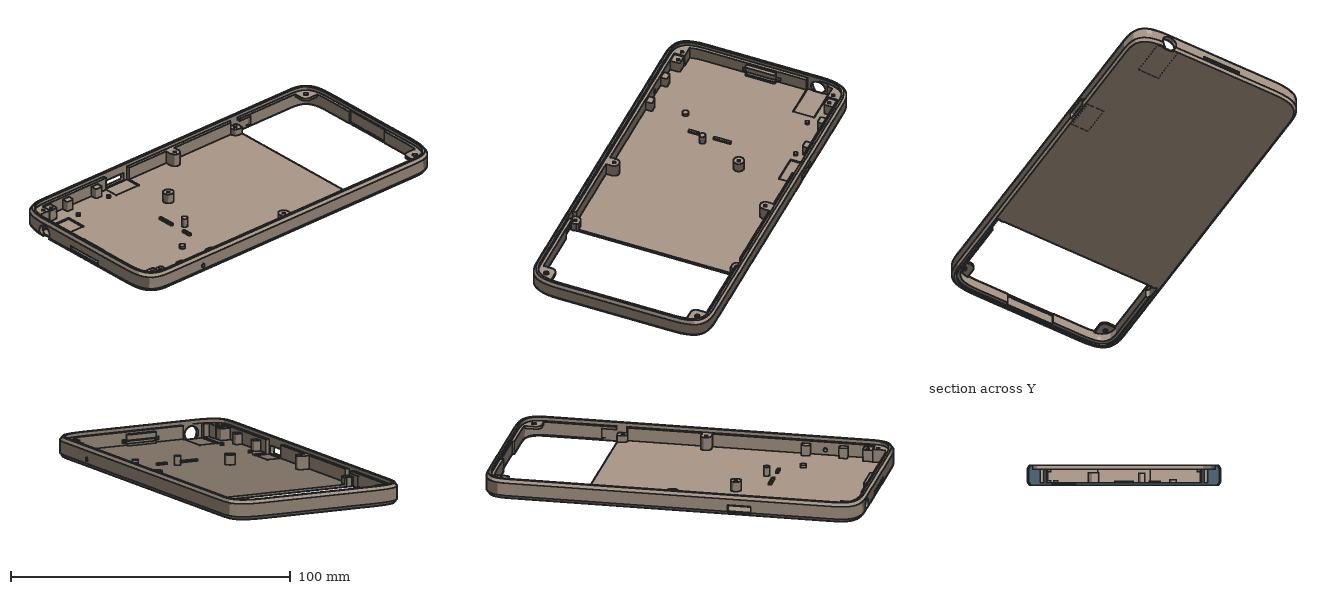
import cadquery as cq

WIDTH = 69.0
LENGTH = 138.0
HEIGHT = 7.2
CORNER_X = 12.4
CORNER_Y = 10.0
CORNER_TENSION = 0.75

BEVEL_INSET = 0.8
BEVEL_HEIGHT = 1.2
RIM_INSET = 1.7
LEDGE_INSET = 2.9
LEDGE_Z = 5.8
THIN_LEDGE_Z = 4.8
FLOOR_Z = 1.0
POCKET_Z = 0.4
CUT_MARGIN = 1.4

RIM_X = WIDTH / 2 - RIM_INSET
RIM_Y = LENGTH / 2 - RIM_INSET
LEDGE_X = WIDTH / 2 - LEDGE_INSET
LEDGE_Y = LENGTH / 2 - LEDGE_INSET

WINDOW_Y = 32.8
TOP_RELIEF_X = 9.4
TOP_RELIEF_Y = 66.9

SCREW_X = 29.3
SCREW_RADIUS = 0.5
PAD_X = 26.2
PAD_Y = 60.0
PAD_CORNER = 2.1
PAD_HOLE_Y = 63.0
PAD_HOLE_RADIUS = 0.8
END_BOSS_X = 31.3
END_BOSS_Y = 31.2
END_BOSS_RADIUS = 2.0
END_BOSS_Z = 3.5
END_NOTCH_Y = 33.5
SIDE_BOSS_Y = 0.3
SIDE_BOSS_RADIUS = 2.0
FOOT_X = 27.6
FOOT_Y = -60.9
FOOT_SCREW_Y = -62.5
STEP_BLOCK_X = 27.9
STEP_BLOCK_Y = -57.1
STEP_BLOCK_Z = 5.2
STEP_SCREW_Y = -58.8
SMALL_CORNER = 0.5

TAB_X = 29.1
TAB_LENGTH = 3.0
TAB_CENTRES_Y = (-35.9, -49.7)
TAB_Z = 4.8
BUMP_HALF_WIDTH = 5.8
BUMP_Y = -64.6
BUMP_Z = 5.0

UNDERCUT_Y = 38.8
UNDERCUT_CORNER = 1.0

FLOOR_PINS = (
    (6.3, -26.6, 1.1, 3.3),
    (17.5, -37.7, 1.1, 1.0),
    (-26.9, -33.4, 0.7, 0.7),
    (-24.4, -50.1, 0.7, 0.7),
)
POST_X = -10.9
POST_Y = -19.0
POST_RADIUS = 2.0
POST_HEIGHT = 3.6
BAR_Y = -29.8
BAR_WIDTH = 1.0
BAR_HEIGHT = 0.5
BAR_SPANS_X = ((-3.3, 3.3), (9.1, 13.0))

JACK_X = -21.4
JACK_Z = 2.3
JACK_RADIUS = 2.8
JACK_POCKET_WIDTH = 8.1
JACK_POCKET_Y = -53.8
USB_HALF_WIDTH = 7.3
USB_Z = (1.8, 2.9)
SIDE_HOLE_Y = -42.8
SIDE_HOLE_Z = 2.8
SIDE_HOLE_RADIUS = 0.7
SWITCH_Y = (-29.4, -20.8)
SWITCH_Z = (0.8, 3.7)
SWITCH_POCKET_X = -26.2
SWITCH_POCKET_Y = (-30.4, -19.3)


def outline(inset, z):
    """Closed wire of the frame outline, moved inwards, on a plane at height z."""
    x, y = WIDTH / 2 - inset, LENGTH / 2 - inset
    xs, ys = WIDTH / 2 - CORNER_X, LENGTH / 2 - CORNER_Y
    xc = xs + CORNER_TENSION * (x - xs)
    yc = ys + CORNER_TENSION * (y - ys)
    return (
        cq.Workplane("XY", origin=(0, 0, z))
        .moveTo(-xs, -y)
        .lineTo(xs, -y)
        .bezier([(xs, -y), (xc, -y), (x, -yc), (x, -ys)])
        .lineTo(x, ys)
        .bezier([(x, ys), (x, yc), (xc, y), (xs, y)])
        .lineTo(-xs, y)
        .bezier([(-xs, y), (-xc, y), (-x, yc), (-x, ys)])
        .lineTo(-x, -ys)
        .bezier([(-x, -ys), (-x, -yc), (-xc, -y), (-xs, -y)])
        .close()
        .wire()
    )


def prism(inset, z0, z1):
    return outline(inset, z0).extrude(z1 - z0)


def bevel(inset_low, z_low, inset_high, z_high):
    low, high = (outline(i, z).val() for i, z in ((inset_low, z_low), (inset_high, z_high)))
    return cq.Workplane(cq.Solid.makeLoft([low, high], True))


def block(x0, x1, y0, y1, z0, z1):
    return cq.Workplane("XY").box(x1 - x0, y1 - y0, z1 - z0, centered=False).translate((x0, y0, z0))


def cylinder(x, y, radius, z0, z1):
    return cq.Workplane("XY", origin=(x, y, z0)).circle(radius).extrude(z1 - z0)


def both_sides(shape):
    return shape.union(shape.mirror("YZ"))


frame = prism(0, BEVEL_HEIGHT, HEIGHT - BEVEL_HEIGHT)
frame = frame.union(bevel(BEVEL_INSET, 0, 0, BEVEL_HEIGHT))
frame = frame.union(bevel(0, HEIGHT - BEVEL_HEIGHT, BEVEL_INSET, HEIGHT))
frame = frame.cut(prism(RIM_INSET, LEDGE_Z, HEIGHT + CUT_MARGIN))

frame = frame.cut(prism(LEDGE_INSET, FLOOR_Z, HEIGHT))
beyond_floor = block(-WIDTH, WIDTH, WINDOW_Y, LENGTH, -CUT_MARGIN, HEIGHT)
window = prism(LEDGE_INSET, -CUT_MARGIN, HEIGHT)
underside_step = prism(RIM_INSET, -CUT_MARGIN, FLOOR_Z)
frame = frame.cut(window.union(underside_step).intersect(beyond_floor))
top_relief = block(
    -TOP_RELIEF_X, TOP_RELIEF_X, LEDGE_Y - CUT_MARGIN, TOP_RELIEF_Y, -CUT_MARGIN, LEDGE_Z
)
frame = frame.cut(top_relief)

inside = prism(RIM_INSET, 0, LEDGE_Z)

pad = block(-WIDTH / 2, -PAD_X, PAD_Y, LENGTH / 2, THIN_LEDGE_Z, LEDGE_Z)
pad = pad.edges("|Z and >X and <Y").fillet(PAD_CORNER)
frame = frame.union(both_sides(pad).intersect(inside))
frame = frame.cut(both_sides(cylinder(SCREW_X, PAD_HOLE_Y, PAD_HOLE_RADIUS, 0, HEIGHT)))


def end_boss(z0, z1):
    wide = block(-RIM_X, END_BOSS_RADIUS - END_BOSS_X, END_BOSS_Y, WINDOW_Y, z0, z1)
    round_end = cylinder(-END_BOSS_X, END_BOSS_Y, END_BOSS_RADIUS, z0, z1)
    trimmed = round_end.intersect(block(-RIM_X, 0, 0, LENGTH, z0, z1))
    return both_sides(wide.union(trimmed))


frame = frame.cut(end_boss(FLOOR_Z, LEDGE_Z))
frame = frame.cut(both_sides(block(-RIM_X, 0, WINDOW_Y, END_NOTCH_Y, -CUT_MARGIN, LEDGE_Z)))

undercut = block(-RIM_X, 0, WINDOW_Y, UNDERCUT_Y, -CUT_MARGIN, THIN_LEDGE_Z)
frame = frame.cut(both_sides(undercut.edges("|Z and <X and >Y").fillet(UNDERCUT_CORNER)))
frame = frame.union(end_boss(0, END_BOSS_Z))
frame = frame.cut(both_sides(cylinder(END_BOSS_X, END_BOSS_Y, SCREW_RADIUS, FLOOR_Z, HEIGHT)))

side_boss = cylinder(-SCREW_X, SIDE_BOSS_Y, SIDE_BOSS_RADIUS, 0, LEDGE_Z).union(
    block(-RIM_X, -SCREW_X, SIDE_BOSS_Y - SIDE_BOSS_RADIUS, SIDE_BOSS_Y + SIDE_BOSS_RADIUS, 0, LEDGE_Z)
)
frame = frame.union(both_sides(side_boss))
frame = frame.cut(both_sides(cylinder(SCREW_X, SIDE_BOSS_Y, SCREW_RADIUS, FLOOR_Z, HEIGHT)))

foot = block(-WIDTH / 2, -FOOT_X, -LENGTH / 2, FOOT_Y, 0, LEDGE_Z)
step_block = block(-LEDGE_X, -STEP_BLOCK_X, FOOT_Y, STEP_BLOCK_Y, 0, STEP_BLOCK_Z)
step_block = step_block.edges("|Z and >X and >Y").fillet(SMALL_CORNER)
frame = frame.union(both_sides(foot.union(step_block)).intersect(inside))
for screw_y in (FOOT_SCREW_Y, STEP_SCREW_Y):
    frame = frame.cut(both_sides(cylinder(SCREW_X, screw_y, SCREW_RADIUS, FLOOR_Z, HEIGHT)))

for tab_y in TAB_CENTRES_Y:
    tab = block(-LEDGE_X, -TAB_X, tab_y - TAB_LENGTH / 2, tab_y + TAB_LENGTH / 2, 0, TAB_Z)
    frame = frame.union(both_sides(tab.edges("|Z and >X").fillet(SMALL_CORNER)))

bump = block(-BUMP_HALF_WIDTH, BUMP_HALF_WIDTH, -LEDGE_Y, BUMP_Y, 0, BUMP_Z)
frame = frame.union(bump.edges("|Z and >Y").fillet(SMALL_CORNER))

for x, y, radius, height in FLOOR_PINS:
    frame = frame.union(cylinder(x, y, radius, 0, FLOOR_Z + height))
frame = frame.union(cylinder(POST_X, POST_Y, POST_RADIUS, 0, FLOOR_Z + POST_HEIGHT))
frame = frame.cut(cylinder(POST_X, POST_Y, SCREW_RADIUS, FLOOR_Z, HEIGHT))
for x0, x1 in BAR_SPANS_X:
    bar = block(x0, x1, BAR_Y - BAR_WIDTH / 2, BAR_Y + BAR_WIDTH / 2, 0, FLOOR_Z + BAR_HEIGHT)
    frame = frame.union(bar)

half_pocket = JACK_POCKET_WIDTH / 2
jack_pocket = block(
    JACK_X - half_pocket, JACK_X + half_pocket, -RIM_Y, JACK_POCKET_Y, POCKET_Z, LEDGE_Z
)
frame = frame.cut(jack_pocket)
jack_hole = cq.Workplane("XZ", origin=(JACK_X, -RIM_Y, JACK_Z)).circle(JACK_RADIUS)
frame = frame.cut(jack_hole.extrude(RIM_INSET + CUT_MARGIN))

frame = frame.cut(block(-USB_HALF_WIDTH, USB_HALF_WIDTH, -LENGTH, BUMP_Y, *USB_Z))

frame = frame.cut(block(-RIM_X, SWITCH_POCKET_X, *SWITCH_POCKET_Y, POCKET_Z, LEDGE_Z))
switch_slot = block(-WIDTH, -LEDGE_X, *SWITCH_Y, *SWITCH_Z).edges("|X").fillet(SMALL_CORNER)
frame = frame.cut(switch_slot)

side_hole = cq.Workplane("YZ", origin=(LEDGE_X - CUT_MARGIN, SIDE_HOLE_Y, SIDE_HOLE_Z))
frame = frame.cut(side_hole.circle(SIDE_HOLE_RADIUS).extrude(LEDGE_INSET + 2 * CUT_MARGIN))

result = frame